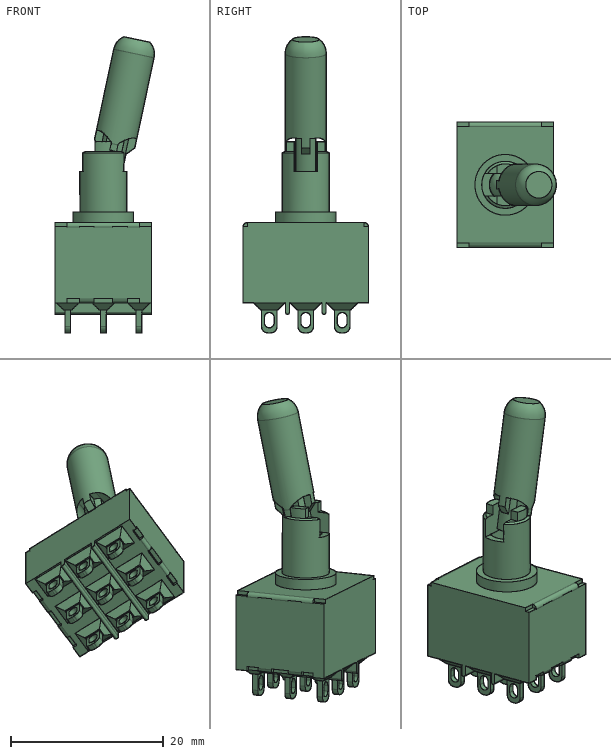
import cadquery as cq
import math

body_width = 12.7
body_depth = 16.5
body_bottom = 3.97
body_top = 14.55
strap_half_width = 4.75
strap_thickness = 0.6
corner_drop = 0.5
strap_end_height = 0.6
tab_offset = 2.2
tab_width = 1.95
tab_bend = 0.45

pin_pitch_x = 4.68
pin_pitch_y = 4.8
pin_thickness = 0.78
pin_width = 2.05
pin_corner = 0.85
eye_width = 1.25
eye_bottom = 0.7
eye_top = 2.7
foot_height = 0.95
foot_taper = 45
foot_width_x = 2.95
foot_width_y = 4.15
rib_width = 0.55
rib_bottom = 2.45

flange_diameter = 8.0
flange_top = 15.95
bushing_diameter = 6.2
bushing_top = 23.9
bushing_chamfer_width = 0.35
bushing_chamfer_height = 0.2
bushing_slot_width = 2.95
bushing_slot_floor = 21.25
bore_diameter = 4.2
stop_length = 2.2
stop_diameter = bushing_diameter - 2 * bushing_chamfer_width
stop_height = 1.3

pivot_height = 17.85
lever_tilt = 12
ball_diameter = bore_diameter
ball_exposed_from = 0.4
rod_diameter = 1.5
neck_diameter = 3.5
neck_flats = 2.65
neck_bottom = 3.75
handle_diameter = 5.45
handle_rim = 19.32
skirt_bottom = 6.25
skirt_gap = 5.38
skirt_gap_top = 8.45
skirt_gap_corner = 1.32
fin_width = 1.1
fin_bevel_bottom = 6.15
fin_bevel_top = 7.2
tip_diameter = 3.5
full_height = 38.95
tilt = math.radians(lever_tilt)
tip_rise = full_height - pivot_height - tip_diameter / 2 * math.sin(tilt)
lever_tip = tip_rise / math.cos(tilt)


def box(length, width, bottom, top):
    """Block centred on the Z axis between two heights."""
    return cq.Workplane("XY").workplane(offset=bottom).rect(length, width).extrude(top - bottom)


def cylinder(diameter, bottom, top):
    """Cylinder on the Z axis between two heights."""
    return cq.Workplane("XY").workplane(offset=bottom).circle(diameter / 2).extrude(top - bottom)


def make_housing():
    """Block with a rounded strap over its middle, stepped corners and two bent tabs per end."""
    strap_width = 2 * strap_half_width
    core_depth = body_depth - 2 * strap_thickness
    strap = box(strap_width, body_depth, body_bottom + strap_end_height, body_top)
    strap = strap.edges("|X and >Z").fillet(strap_thickness)
    tabs = box(tab_width, body_depth, body_bottom, body_top - corner_drop)
    tabs = tabs.edges("|X and <Z").fillet(tab_bend)
    housing = box(body_width, core_depth, body_bottom, body_top).union(strap)
    post_width = body_width / 2 - strap_half_width
    post = box(post_width, body_depth, body_bottom, body_top - corner_drop)
    for side in (-1, 1):
        housing = housing.union(tabs.translate((side * tab_offset, 0, 0)))
        housing = housing.union(post.translate((side * (strap_half_width + post_width / 2), 0, 0)))
    return housing


def make_terminal():
    """Solder lug with an oblong eye, below a tapered foot."""
    lug = box(pin_thickness, pin_width, 0, body_bottom).edges("|X and <Z").fillet(pin_corner)
    eye = (
        cq.Workplane("YZ")
        .center(0, (eye_bottom + eye_top) / 2)
        .slot2D(eye_top - eye_bottom, eye_width, 90)
        .extrude(pin_thickness, both=True)
    )
    foot = (
        cq.Workplane("XY")
        .workplane(offset=body_bottom)
        .rect(foot_width_x, foot_width_y)
        .extrude(-foot_height, taper=foot_taper)
    )
    return lug.cut(eye).union(foot)


def make_rib():
    """Dividing rib with a round lower edge, along the full width of the housing."""
    radius = rib_width / 2
    return (
        cq.Workplane("YZ")
        .moveTo(-radius, body_bottom)
        .lineTo(-radius, rib_bottom + radius)
        .threePointArc((0, rib_bottom), (radius, rib_bottom + radius))
        .lineTo(radius, body_bottom)
        .close()
        .extrude(body_width / 2, both=True)
    )


def make_bushing():
    """Flanged, slotted and bored bushing with two stop blocks on its rim."""
    bushing = cylinder(bushing_diameter, body_top, bushing_top)
    bushing = bushing.faces(">Z").chamfer(bushing_chamfer_height, bushing_chamfer_width)
    stop_top = bushing_top + stop_height
    stops = cylinder(stop_diameter, bushing_top, stop_top)
    stops = stops.intersect(box(stop_length, stop_diameter, bushing_top, stop_top))
    slot = box(bushing_diameter, bushing_slot_width, bushing_slot_floor, stop_top)
    bore = cylinder(bore_diameter, pivot_height + ball_exposed_from, bushing_slot_floor)
    flange = cylinder(flange_diameter, body_top, flange_top)
    return bushing.union(stops).cut(slot).cut(bore).union(flange)


def make_grip():
    """Round grip with a curved nose, solid down to its skirt."""
    return (
        cq.Workplane("XZ")
        .moveTo(0, fin_bevel_bottom)
        .lineTo(handle_diameter / 2, fin_bevel_bottom)
        .lineTo(handle_diameter / 2, handle_rim)
        .tangentArcPoint((tip_diameter / 2, lever_tip), relative=False)
        .lineTo(0, lever_tip)
        .close()
        .revolve(360, (0, 0), (0, 1))
    )


def make_neck(top):
    """Round neck with two flats."""
    neck = cylinder(neck_diameter, neck_bottom, top)
    return neck.intersect(box(neck_diameter, neck_flats, neck_bottom, top))


def make_fins():
    """Thin web across the skirt gap, bevelled underneath on both sides."""
    neck_radius = neck_diameter / 2
    handle_radius = handle_diameter / 2
    return (
        cq.Workplane("XZ")
        .polyline([
            (-neck_radius, neck_bottom),
            (neck_radius, neck_bottom),
            (neck_radius, fin_bevel_bottom),
            (handle_radius, fin_bevel_top),
            (handle_diameter, fin_bevel_top),
            (handle_diameter, handle_rim),
            (-handle_diameter, handle_rim),
            (-handle_diameter, fin_bevel_top),
            (-handle_radius, fin_bevel_top),
            (-neck_radius, fin_bevel_bottom),
        ])
        .close()
        .extrude(fin_width / 2, both=True)
    )


def make_skirt_gap():
    """Round-topped gap that leaves two side prongs, cut to length, around the neck and fins."""
    gap = box(2 * handle_diameter, skirt_gap, 0, skirt_gap_top)
    gap = gap.edges("|X and >Z").fillet(skirt_gap_corner)
    below_prongs = box(2 * handle_diameter, 2 * handle_diameter, 0, skirt_bottom)
    return gap.union(below_prongs).cut(make_neck(handle_rim)).cut(make_fins())


def make_lever():
    """Ball, rod, flatted neck, fins and grip, tilted about the pivot."""
    ball = cq.Workplane("XY").sphere(ball_diameter / 2)
    rod = cylinder(rod_diameter, 0, neck_bottom)
    lever = make_grip().cut(make_skirt_gap())
    lever = lever.union(make_neck(skirt_gap_top)).union(rod).union(ball)
    return lever.rotate((0, 0, 0), (0, 1, 0), lever_tilt).translate((0, 0, pivot_height))


result = make_housing().union(make_bushing()).union(make_lever())
for row in (-1, 0, 1):
    for column in (-1, 0, 1):
        result = result.union(make_terminal().translate((row * pin_pitch_x, column * pin_pitch_y, 0)))
for side in (-1, 1):
    result = result.union(make_rib().translate((0, side * pin_pitch_y / 2, 0)))